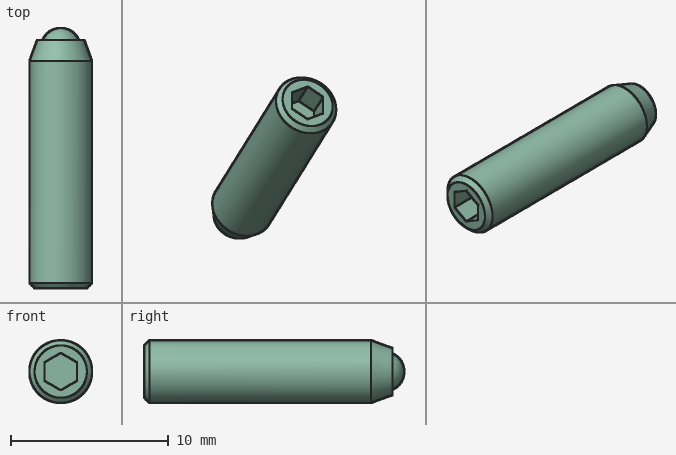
import cadquery as cq
import math

total_length = 16.5
screw_diameter = 4.0
socket_end_diameter = 3.32
tip_face_diameter = 3.0
tip_cone_length = 1.35
ball_diameter = 2.5
ball_protrusion = 0.76
hex_across_flats = 2.05
hex_depth = 1.98

screw_radius = screw_diameter / 2
socket_end_radius = socket_end_diameter / 2
tip_face_radius = tip_face_diameter / 2
chamfer_length = screw_radius - socket_end_radius
socket_end_y = -total_length / 2
ball_radius = ball_diameter / 2
ball_center_y = total_length / 2 - ball_radius
tip_face_y = total_length / 2 - ball_protrusion
hex_across_corners = hex_across_flats / math.cos(math.pi / 6)


def make_ball():
    """Ball held in the tip of the screw."""
    return cq.Workplane("XY").sphere(ball_radius).translate((0, ball_center_y, 0))


def make_screw_blank():
    """Solid of revolution with a chamfered socket end and a tapered tip."""
    return (
        cq.Workplane("XY")
        .moveTo(0, socket_end_y)
        .lineTo(socket_end_radius, socket_end_y)
        .lineTo(screw_radius, socket_end_y + chamfer_length)
        .lineTo(screw_radius, tip_face_y - tip_cone_length)
        .lineTo(tip_face_radius, tip_face_y)
        .lineTo(0, tip_face_y)
        .close()
        .revolve(360, (0, 0, 0), (0, 1, 0))
    )


def make_hex_socket():
    """Hexagonal key socket with corners pointing up and down."""
    return (
        cq.Workplane("XZ", origin=(0, socket_end_y, 0))
        .transformed(rotate=(0, 0, 90))
        .polygon(6, hex_across_corners)
        .extrude(-hex_depth)
    )


ball = make_ball()
screw = make_screw_blank().cut(make_hex_socket()).cut(ball)

result = cq.Compound.makeCompound([screw.val(), ball.val()])